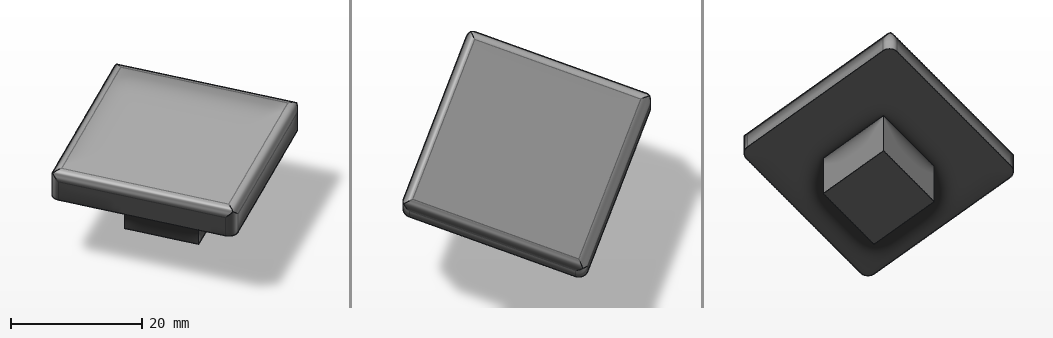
import cadquery as cq

total_height = 15.0
plate_side = 30.0
plate_thickness = total_height / 3
edge_radius = 1.5
stem_side = 12.0
stem_height = total_height - plate_thickness


def rounded_bar(edges):
    """Square plate standing on Z = 0, with only the selected parallel edges rounded."""
    bar = cq.Workplane("XY").box(plate_side, plate_side, plate_thickness, centered=(True, True, False))
    return bar.edges(edges).fillet(edge_radius)


plate = rounded_bar("|Z")
plate = plate.intersect(rounded_bar("|X and >Z"))
plate = plate.intersect(rounded_bar("|Y and >Z"))

stem = cq.Workplane("XY").rect(stem_side, stem_side).extrude(-stem_height)

result = plate.union(stem)